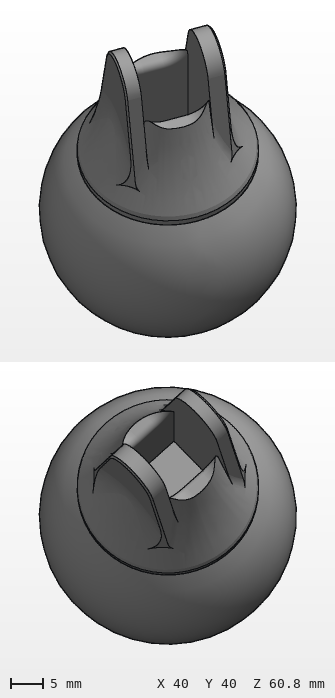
import cadquery as cq
import math

ball_radius = 20.0
overall_height = 60.8
top_z = overall_height - ball_radius

collar_radius = 14.1
collar_bottom_z = 14.2
collar_top_z = 15.3
neck_base_radius = 13.85
neck_base_z = 16.05
neck_middle = (9.9, 23.55)
neck_top = (6.8, 33.45)

tip_radius = 4.9
arm_taper = math.radians(12.5)
arm_bottom_z = 17.65
arm_edge_chamfer = 0.3
slot_front_y = -5.95
slot_back_y = 5.0
front_arm_outer_y = -8.5
back_arm_outer_y = 8.0
outer_blend_radius = 8.5
side_blend_radius = 1.8

slot_floor_z = 30.3
slot_corner_radius = 3.8
pocket_width = 10.0
rim_radius = 1.1
saddle_top_z = 33.3
pocket_floor_z = collar_bottom_z

pick_margin = 0.05

slot_length_y = slot_back_y - slot_front_y
slot_middle_y = (slot_front_y + slot_back_y) / 2


def make_body():
    """Revolve the collar and neck, then join them to the ball."""
    neck = (
        cq.Workplane("XZ")
        .lineTo(collar_radius, 0)
        .lineTo(collar_radius, collar_top_z)
        .lineTo(neck_base_radius, neck_base_z)
        .threePointArc(neck_middle, neck_top)
        .lineTo(0, neck_top[1])
        .close()
        .revolve(360, (0, 0, 0), (0, 1, 0))
    )
    below_collar = cq.Workplane("XY").circle(collar_radius).extrude(collar_bottom_z)
    return neck.cut(below_collar).union(cq.Workplane("XY").sphere(ball_radius))


def make_arm(outer_y, inner_y):
    """Make one arm with its outer face edge chamfered; it reaches inward to inner_y."""
    tip_centre_z = top_z - tip_radius
    tangent_x = tip_radius * math.cos(arm_taper)
    tangent_z = tip_centre_z + tip_radius * math.sin(arm_taper)
    bottom_x = tangent_x + (tangent_z - arm_bottom_z) * math.tan(arm_taper)
    arm = (
        cq.Workplane("XZ", origin=(0, outer_y, 0))
        .moveTo(-bottom_x, arm_bottom_z)
        .lineTo(-tangent_x, tangent_z)
        .threePointArc((0, top_z), (tangent_x, tangent_z))
        .lineTo(bottom_x, arm_bottom_z)
        .close()
        .extrude(outer_y - inner_y)
    )
    outer_face = "<Y" if outer_y < inner_y else ">Y"
    return arm.faces(outer_face).edges("not(<Z)").chamfer(arm_edge_chamfer)


def make_saddle():
    """Make the rounded slot floor on both sides of the pocket, with its rim rounded."""
    slot = (
        cq.Workplane("XY", origin=(0, slot_middle_y, slot_floor_z))
        .rect(2 * ball_radius, slot_length_y)
        .extrude(top_z - slot_floor_z)
        .edges("|X and <Z")
        .fillet(slot_corner_radius)
    )
    block_width = collar_radius - pocket_width / 2
    block = (
        cq.Workplane("XY", origin=(0, slot_middle_y, pocket_floor_z))
        .rect(block_width, slot_length_y)
        .extrude(saddle_top_z - pocket_floor_z)
        .translate(((pocket_width + block_width) / 2, 0, 0))
    )
    rim = cq.selectors.BoxSelector(
        (pocket_width / 2 - pick_margin, slot_front_y + pick_margin, slot_floor_z - pick_margin),
        (pocket_width / 2 + pick_margin, slot_back_y - pick_margin, saddle_top_z - pick_margin),
    )
    saddle = block.cut(slot).edges(rim).fillet(rim_radius)
    return saddle.union(saddle.mirror("YZ"))


def make_opening():
    """Make the slot and pocket as one cutter, leaving the saddle standing."""
    full_gap = (
        cq.Workplane("XY", origin=(0, slot_middle_y, pocket_floor_z))
        .rect(2 * collar_radius, slot_length_y)
        .extrude(top_z - pocket_floor_z)
    )
    return full_gap.cut(make_saddle())


def root_box(x_range, y_range):
    """Select edges centred within the given ranges, at the height of the arm roots."""
    return cq.selectors.BoxSelector(
        (x_range[0], y_range[0], arm_bottom_z),
        (x_range[1], y_range[1], slot_floor_z),
    )


def blend_arm_roots(part):
    """Round the seams where the outer faces, then the sides, of the arms meet the neck."""
    seams = cq.selectors.TypeSelector("BSPLINE")
    middle = (-pick_margin, pick_margin)
    left = (-collar_radius, -tip_radius)
    right = (tip_radius, collar_radius)

    front_outer = (front_arm_outer_y - pick_margin, front_arm_outer_y + pick_margin)
    back_outer = (back_arm_outer_y - pick_margin, back_arm_outer_y + pick_margin)
    outer_seams = root_box(middle, front_outer) + root_box(middle, back_outer)
    part = part.edges(seams).edges(outer_seams).fillet(outer_blend_radius)

    front_side = (front_arm_outer_y + arm_edge_chamfer, slot_front_y - pick_margin)
    back_side = (slot_back_y + pick_margin, back_arm_outer_y - arm_edge_chamfer)
    front_seams = root_box(left, front_side) + root_box(right, front_side)
    back_seams = root_box(left, back_side) + root_box(right, back_side)
    return part.edges(seams).edges(front_seams + back_seams).fillet(side_blend_radius)


front_arm = make_arm(front_arm_outer_y, slot_front_y)
back_arm = make_arm(back_arm_outer_y, slot_back_y)
body = make_body().union(front_arm).union(back_arm)
result = blend_arm_roots(body.cut(make_opening()))